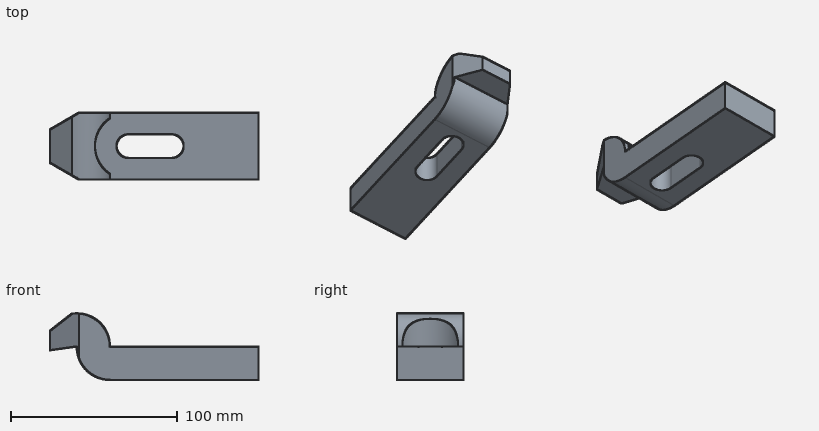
import cadquery as cq
import math

length = 125.0
width = 40.0
bar_height = 20.0
bend_radius = bar_height

nose_reach = 16.0
tip_width = 20.0
tip_bottom = 17.8
tip_top = 29.5
crest_x = 13.2
taper_angle = 30.0

slot_length = 40.0
slot_width = 14.0
slot_start = 40.0
clearance_radius = 20.0

step_x = nose_reach + bend_radius
slot_end_center_x = slot_start + slot_width / 2
total_height = bar_height + bend_radius
diagonal = bend_radius * math.sqrt(0.5)
crest_z = bar_height + math.sqrt(bend_radius**2 - (nose_reach - crest_x) ** 2)


def make_body():
    """S-bent side profile extruded symmetrically across the width."""
    profile = (
        cq.Workplane("XZ")
        .moveTo(0, tip_bottom)
        .lineTo(nose_reach, bar_height)
        .threePointArc((step_x - diagonal, bar_height - diagonal), (step_x, 0))
        .lineTo(length, 0)
        .lineTo(length, bar_height)
        .lineTo(step_x, bar_height)
        .threePointArc((nose_reach + diagonal, bar_height + diagonal), (crest_x, crest_z))
        .lineTo(0, tip_top)
        .close()
    )
    return profile.extrude(width / 2, both=True)


def make_taper_cutter(side):
    """Wedge that narrows the nose; side is +1 or -1 along Y."""
    taper_length = (width - tip_width) / 2 / math.tan(math.radians(taper_angle))
    return (
        cq.Workplane("XY")
        .moveTo(0, side * tip_width / 2)
        .lineTo(taper_length, side * width / 2)
        .lineTo(0, side * width / 2)
        .close()
        .extrude(total_height)
    )


def make_slot():
    """Through slot along the bar."""
    return (
        cq.Workplane("XY")
        .center(slot_start + slot_length / 2, 0)
        .slot2D(slot_length, slot_width)
        .extrude(bar_height)
    )


def make_washer_clearance():
    """Cylinder that relieves the bend above the bar."""
    return (
        cq.Workplane("XY", origin=(slot_end_center_x, 0, bar_height))
        .circle(clearance_radius)
        .extrude(bend_radius)
    )


result = make_body().cut(make_slot()).cut(make_washer_clearance())
for side in (-1, 1):
    result = result.cut(make_taper_cutter(side))